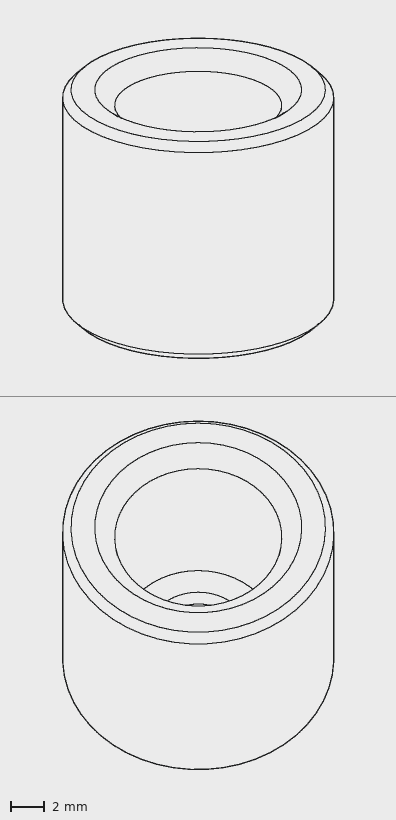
import cadquery as cq

body_diameter = 16.0
body_height = 14.0
body_chamfer = 0.5

lead_in_diameter = 12.2
lead_in_depth = 1.0

taper_top_diameter = 9.85
taper_depth = 4.0

bore_diameter = 9.1
floor_z = 3.0

hole_diameter = 5.0
hole_chamfer = 0.5


def make_body():
    """Solid cylinder standing on Z = 0, chamfered at both ends."""
    cylinder = cq.Workplane("XY").circle(body_diameter / 2).extrude(body_height)
    return cylinder.edges().chamfer(body_chamfer)


def make_bore_cutter():
    """Revolved void along Z: floor hole, straight bore, taper and lead-in."""
    hole_radius = hole_diameter / 2
    bore_radius = bore_diameter / 2
    taper_top_z = body_height - lead_in_depth
    taper_bottom_z = taper_top_z - taper_depth
    profile = (
        cq.Workplane("XZ")
        .lineTo(hole_radius, 0)
        .lineTo(hole_radius, floor_z - hole_chamfer)
        .lineTo(hole_radius + hole_chamfer, floor_z)
        .lineTo(bore_radius, floor_z)
        .lineTo(bore_radius, taper_bottom_z)
        .lineTo(taper_top_diameter / 2, taper_top_z)
        .lineTo(lead_in_diameter / 2, body_height)
        .lineTo(0, body_height)
        .close()
    )
    return profile.revolve(360, (0, 0, 0), (0, 1, 0))


result = make_body().cut(make_bore_cutter())